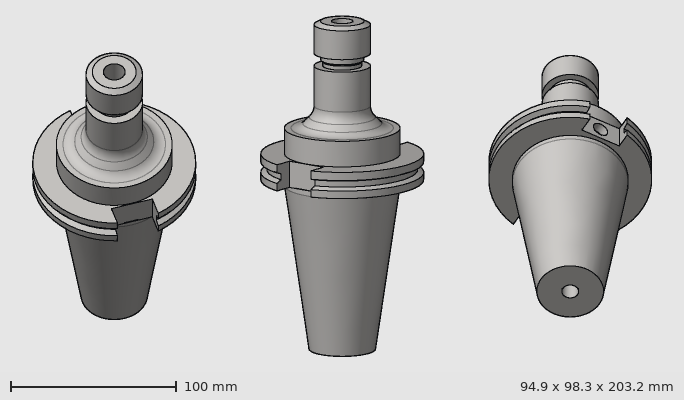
import cadquery as cq
import math

total_height = 203.2
taper_length = 101.4
flange_bottom = 104.9
flange_top = 121.1
body_top = 137.0
stem_top = 175.5
neck_top = 178.0
collar_bottom = 179.2
nut_bottom = 183.3

gauge_radius = 35.0
taper_ratio = 7 / 24
small_end_radius = gauge_radius - taper_length * taper_ratio / 2
flange_radius = 98.3 / 2
stem_radius = 17.0
neck_radius = 11.8
collar_radius = 13.0
neck_groove_radius = 10.5
nut_top_radius = 13.2
nut_chamfer_height = 2.0

groove_radius = 45.5
groove_upper_edge = 116.0
groove_floor_top = 114.8
groove_floor_bottom = 111.2
groove_lower_edge = 109.5

flare_radius = 10.0
flare_size = 13.8
arc_short = flare_radius * (1 - math.cos(math.pi / 4))
arc_long = flare_radius * math.sin(math.pi / 4)

slot_width = 25.8
left_slot_floor = 37.5
right_slot_floor = 35.4
slot_hole_radius = 4.9
slot_hole_depth = 6.0
slot_hole_height = (flange_bottom + flange_top) / 2

through_bore_radius = 5.0
nut_bore_radius = 6.5
nut_bore_depth = total_height - nut_bottom


def turned_body():
    """Revolve the complete outer profile about Z."""
    flare_outer = stem_radius + flare_size
    flare_top = body_top + flare_size
    lower_arc_mid = (
        flare_outer - flare_radius * math.sin(math.pi / 8),
        body_top + flare_radius * (1 - math.cos(math.pi / 8)),
    )
    upper_arc_mid = (
        stem_radius + flare_radius * (1 - math.cos(math.pi / 8)),
        flare_top - flare_radius * math.sin(math.pi / 8),
    )
    return (
        cq.Workplane("XZ")
        .lineTo(small_end_radius, 0)
        .lineTo(gauge_radius, taper_length)
        .lineTo(gauge_radius, flange_bottom)
        .lineTo(flange_radius, flange_bottom)
        .lineTo(flange_radius, groove_lower_edge)
        .lineTo(groove_radius, groove_floor_bottom)
        .lineTo(groove_radius, groove_floor_top)
        .lineTo(flange_radius, groove_upper_edge)
        .lineTo(flange_radius, flange_top)
        .lineTo(gauge_radius, flange_top)
        .lineTo(gauge_radius, body_top)
        .lineTo(flare_outer, body_top)
        .threePointArc(lower_arc_mid, (flare_outer - arc_long, body_top + arc_short))
        .lineTo(stem_radius + arc_short, flare_top - arc_long)
        .threePointArc(upper_arc_mid, (stem_radius, flare_top))
        .lineTo(stem_radius, stem_top)
        .lineTo(neck_radius, stem_top)
        .lineTo(neck_radius, neck_top)
        .lineTo(neck_groove_radius, neck_top)
        .lineTo(collar_radius, collar_bottom)
        .lineTo(collar_radius, nut_bottom)
        .lineTo(stem_radius, nut_bottom)
        .lineTo(stem_radius, total_height - nut_chamfer_height)
        .lineTo(nut_top_radius, total_height)
        .lineTo(0, total_height)
        .close()
        .revolve(360, (0, 0, 0), (0, 1, 0))
    )


def drive_slot(side, floor):
    """Cutter for one slot through the flange; side is -1 or 1 along X."""
    return (
        cq.Workplane("XY", origin=(side * (floor + flange_radius / 2), 0, flange_bottom))
        .rect(flange_radius, slot_width)
        .extrude(flange_top - flange_bottom)
    )


def slot_hole():
    """Cutter for the blind hole in the floor of the -X slot."""
    return (
        cq.Workplane("YZ", origin=(-left_slot_floor, 0, slot_hole_height))
        .circle(slot_hole_radius)
        .extrude(slot_hole_depth)
    )


def stepped_bore():
    """Cutter for the through bore and its wider stretch in the nut."""
    through = cq.Workplane("XY").circle(through_bore_radius).extrude(total_height)
    wide = (
        cq.Workplane("XY", origin=(0, 0, total_height - nut_bore_depth))
        .circle(nut_bore_radius)
        .extrude(nut_bore_depth)
    )
    return through.union(wide)


result = (
    turned_body()
    .cut(drive_slot(-1, left_slot_floor))
    .cut(drive_slot(1, right_slot_floor))
    .cut(slot_hole())
    .cut(stepped_bore())
)